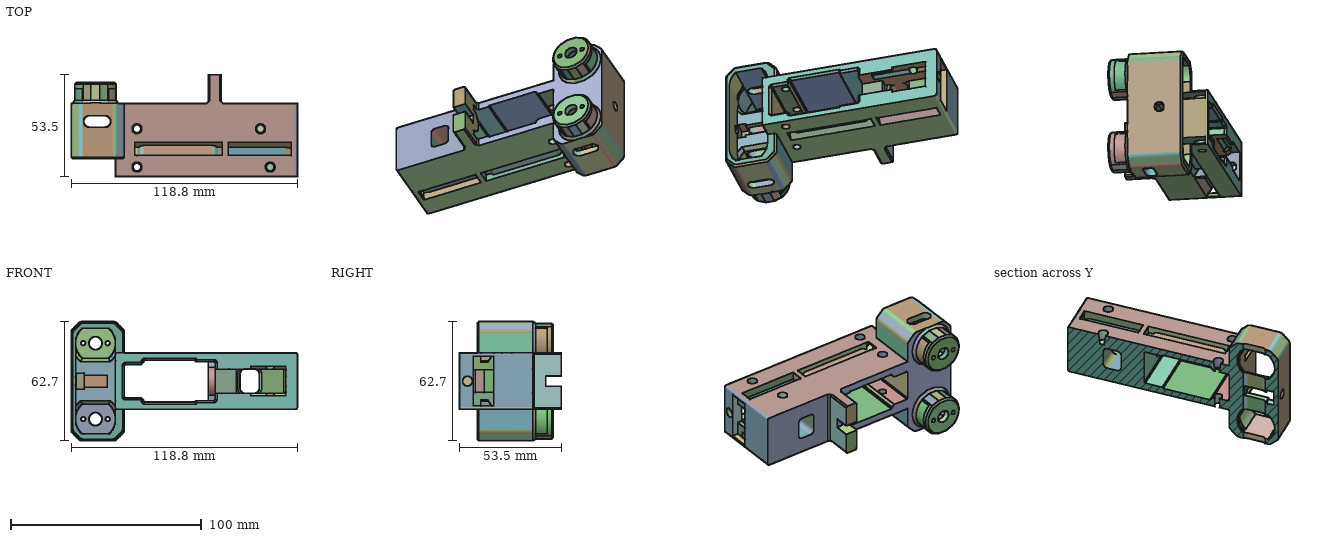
import cadquery as cq
import math


TOTAL_X = 118.75
TOTAL_Y = 53.5
TOTAL_Z = 62.7
BACK_Y = 38.4
THROUGH = 200.0
EPS = 0.5

BOX_X = 28.0
BOX_FRONT_Y = 9.3
BOX_CORNER = 4.85
BOX_CORNER_BLEND = 3.0
BOX_RIM_CHAMFER = 1.0
CAVITY_FLOOR_Y = 23.3

MOTOR_X = 12.8
MOTOR_Z = 19.9
SEAT_RADIUS = 10.45
SEAT_FLAT = 7.8
SEAT_FLOOR_Y = 46.0
SEAT_CHAMFER = 1.9
BOSS_RADIUS = 10.9
BOSS_FLAT = 10.43
BOSS_FLAT_HALF = 2.35
BOSS_FACET_END = 6.5
BOSS_END_Y = 49.4
BOSS_END_CHAMFER = 1.0
BOSS_ROOT_HEIGHT = 1.7
BOSS_ROOT_FLARE = 1.2
SHAFT_HOLE = 6.7
MOTOR_SCREW_HOLE = 2.2
MOTOR_SCREW_OFFSET = 6.4

VENT_LENGTH = 14.05
VENT_WIDTH = 5.9
VENT_X = 13.7
VENT_Y = 28.95
SIDE_SCREW_Y = 21.5
SCREW_HOLE = 4.1
SCREW_MOUTH = 5.1
PLUG_X = (2.75, 6.9)
PLUG_HALF_Z = 4.15
PLUG_DEPTH = 7.0
WIRE_END_X = 19.1
WIRE_HALF_Z = 3.1
WIRE_DEPTH = 10.0

ARM_X = 23.3
ARM_HALF_Z = 14.85
ARM_END_RADIUS = 1.2

BAY_X = (28.0, 75.5)
BAY_CHAMFER = 1.15
BAY_NARROW_HALF = 8.7
BAY_WIDE_HALF = 10.85
BAY_END_HALF = 10.15
BAY_WIDE_X = 38.0
BAY_END_X = 65.4
BAY_CORNER = 0.5
BAY_STEP_CHAMFER = 1.3
BAY_MOUTH_CORNER = 1.2

POST_X = (71.9, 78.8)
POST_CHAMFER = 0.8
POST_ROOT_FLARE = 0.9
POST_SLOT_HALF_Z = 2.65
POST_SLOT_Y = 45.4
POST_SLOT_DEEP_Y = 43.3
RELIEF_Y = 42.9
NOSE_RADIUS = 7.5
NOSE_Y = 44.6

POCKET_HALF_Z = 6.28
STEP_Y = 8.5
STEP_X = 86.5
POCKET_X_END = 112.7
POCKET_FLOOR_Y = 13.0
GROOVE_X = (82.6, POCKET_X_END)
GROOVE_HALF_Z = 7.75
LIP_Y = 1.5
GROOVE_FULL_Y = 4.4
GROOVE_END_Y = 6.4
LIP_NOTCH_X = 94.3
TUNNEL_X = (88.7, 98.6)
TUNNEL_CORNER = 2.4
TUNNEL_CHAMFER = 1.3
EXIT_X = 111.5
EXIT_Y = (7.2, 18.1)
EXIT_HALF_Z = 5.9
EXIT_WALL_X = 115.4
EXIT_WALL_HALF_Z = 13.0
END_SCREW_Y = 4.3

SLOT_Y = (11.15, 18.1)
SLOT_SLOPE = 0.636
SLOT_FLOOR_Z = 10.6
LONG_SLOT_X = (33.5, 79.4)
BRIDGE_X = (34.55, 77.7)
BRIDGE_Z = 12.1
BRIDGE_RAMP = 3.45
SHORT_SLOT_X = (82.4, 115.4)
RAMP_START_X = 112.5
RAMP_END_Z = 9.8

SCREW_MOUTH_DEPTH = 4.0
ARM_SCREWS = [
    (34.55, 5.05, -ARM_HALF_Z),
    (34.55, 25.1, -ARM_HALF_Z),
    (99.35, 25.1, 8.75),
    (104.4, 5.05, -GROOVE_HALF_Z),
]
CHANNEL_Y = (1.4, 15.0)
CHANNEL_Z = (10.6, 14.1)
CHANNEL_DEPTH_X = 29.55
CHANNEL_TURN_Y = 4.4
CHANNEL_TURN_RADIUS = 5.0


def block(x, y, z):
    """Box given by its (low, high) limits along each axis."""
    return (cq.Workplane("XY")
            .box(x[1] - x[0], y[1] - y[0], z[1] - z[0], centered=False)
            .translate((x[0], y[0], z[0])))


def level(y):
    """Sketch plane at height y: local x = X, local y = Z, extrudes toward -Y."""
    return cq.Workplane("XZ", origin=(0, y, 0))


def toward_back(y):
    """Sketch plane at height y: local x = X, local y = -Z, extrudes toward +Y."""
    return cq.Workplane(cq.Plane(origin=(0, y, 0), xDir=(1, 0, 0), normal=(0, 1, 0)))


def both_sides(shape):
    """The shape together with its mirror image about Z = 0."""
    return shape.union(shape.mirror("XY"))


def motor_box():
    box = block((0, BOX_X), (BOX_FRONT_Y, BACK_Y), (-TOTAL_Z / 2, TOTAL_Z / 2))
    box = box.edges("|Y").chamfer(BOX_CORNER)
    box = box.edges("|Y").fillet(BOX_CORNER_BLEND)
    return box.faces("<Y").chamfer(BOX_RIM_CHAMFER)


def boss_outline(plane):
    facet_z = math.sqrt(BOSS_RADIUS**2 - BOSS_FACET_END**2)
    return (plane.center(MOTOR_X, -MOTOR_Z)
            .moveTo(-BOSS_FACET_END, facet_z)
            .lineTo(-BOSS_FLAT_HALF, BOSS_FLAT)
            .lineTo(BOSS_FLAT_HALF, BOSS_FLAT)
            .lineTo(BOSS_FACET_END, facet_z)
            .threePointArc((BOSS_RADIUS, 0), (BOSS_FACET_END, -facet_z))
            .lineTo(BOSS_FLAT_HALF, -BOSS_FLAT)
            .lineTo(-BOSS_FLAT_HALF, -BOSS_FLAT)
            .lineTo(-BOSS_FACET_END, -facet_z)
            .threePointArc((-BOSS_RADIUS, 0), (-BOSS_FACET_END, facet_z))
            .close())


def motor_boss():
    rim_y = BOSS_END_Y - BOSS_END_CHAMFER
    boss = boss_outline(toward_back(BACK_Y)).extrude(rim_y - BACK_Y)
    boss = boss.union(boss_outline(toward_back(rim_y)).extrude(BOSS_END_CHAMFER, taper=45))
    root_angle = math.degrees(math.atan2(BOSS_ROOT_FLARE, BOSS_ROOT_HEIGHT))
    root = (boss_outline(toward_back(BACK_Y)).offset2D(BOSS_ROOT_FLARE)
            .extrude(BOSS_ROOT_HEIGHT, taper=root_angle))
    box_limits = block((0, BOX_X), (BACK_Y, TOTAL_Y), (0, TOTAL_Z / 2))
    return boss.union(root.intersect(box_limits))


def seat_prism(radius, flat, y_low, y_high):
    """Round seat with two flats, between two Y heights."""
    disc = toward_back(y_low).center(MOTOR_X, -MOTOR_Z).circle(radius).extrude(y_high - y_low)
    limits = block((MOTOR_X - radius, MOTOR_X + radius), (y_low, y_high),
                   (MOTOR_Z - flat, MOTOR_Z + flat))
    return disc.intersect(limits)


def seat_chamfer():
    """Flared mouth of the seat, kept within the width of the cavity."""
    outer_radius = SEAT_RADIUS + SEAT_CHAMFER
    outer_flat = SEAT_FLAT + SEAT_CHAMFER
    cone = (toward_back(CAVITY_FLOOR_Y).center(MOTOR_X, -MOTOR_Z)
            .circle(outer_radius).extrude(SEAT_CHAMFER, taper=45))
    wedge = (cq.Workplane("YZ", origin=(MOTOR_X - SEAT_RADIUS, 0, 0))
             .moveTo(CAVITY_FLOOR_Y, MOTOR_Z + SEAT_FLAT)
             .lineTo(CAVITY_FLOOR_Y, MOTOR_Z - outer_flat)
             .lineTo(CAVITY_FLOOR_Y + SEAT_CHAMFER, MOTOR_Z - SEAT_FLAT)
             .lineTo(CAVITY_FLOOR_Y + SEAT_CHAMFER, MOTOR_Z + SEAT_FLAT)
             .close().extrude(2 * SEAT_RADIUS))
    return cone.intersect(wedge)


def motor_holes():
    places = [(0, SHAFT_HOLE), (-MOTOR_SCREW_OFFSET, MOTOR_SCREW_HOLE),
              (MOTOR_SCREW_OFFSET, MOTOR_SCREW_HOLE)]
    holes = cq.Workplane("XY")
    for offset, diameter in places:
        hole = (toward_back(CAVITY_FLOOR_Y).center(MOTOR_X + offset, -MOTOR_Z)
                .circle(diameter / 2).extrude(TOTAL_Y))
        holes = holes.union(hole)
    return holes


def box_cavity():
    low_x = MOTOR_X - SEAT_RADIUS
    middle = block((low_x, ARM_X), (-EPS, CAVITY_FLOOR_Y), (-MOTOR_Z, MOTOR_Z))
    end = seat_prism(SEAT_RADIUS, SEAT_FLAT, -EPS, SEAT_FLOOR_Y)
    ends = both_sides(end.union(seat_chamfer()).union(motor_holes()))
    plug = block(PLUG_X, (CAVITY_FLOOR_Y - EPS, CAVITY_FLOOR_Y + PLUG_DEPTH),
                 (-PLUG_HALF_Z, PLUG_HALF_Z))
    wire = block((PLUG_X[1], WIRE_END_X), (CAVITY_FLOOR_Y - EPS, CAVITY_FLOOR_Y + WIRE_DEPTH),
                 (-WIRE_HALF_Z, WIRE_HALF_Z))
    return middle.union(ends).union(plug).union(wire)


def box_vents():
    return (cq.Workplane("XY", origin=(VENT_X, VENT_Y, 0))
            .slot2D(VENT_LENGTH, VENT_WIDTH).extrude(THROUGH / 2, both=True))


def screw_cutter(plane, depth, mouth_depth):
    """Screw hole that narrows over its mouth, running from the plane along its normal."""
    taper = math.degrees(math.atan2((SCREW_MOUTH - SCREW_HOLE) / 2, mouth_depth))
    mouth = plane.circle(SCREW_MOUTH / 2).extrude(mouth_depth, taper=taper)
    return plane.circle(SCREW_HOLE / 2).extrude(depth).union(mouth)


def side_screw():
    wall = MOTOR_X - SEAT_RADIUS
    return screw_cutter(cq.Workplane("YZ", origin=(0, SIDE_SCREW_Y, 0)), MOTOR_X, wall)


def arm():
    body = block((ARM_X, TOTAL_X), (0, BACK_Y), (-ARM_HALF_Z, ARM_HALF_Z))
    return body.edges("|Y and >X").fillet(ARM_END_RADIUS)


def bay_part(x, half_z):
    """One rectangular length of the bay, with its chamfered mouth."""
    hole = block(x, (0, RELIEF_Y), (-half_z, half_z)).edges("|Y").chamfer(BAY_CORNER)
    mouth_outline = (cq.Sketch()
                     .rect(x[1] - x[0] + 2 * BAY_CHAMFER, 2 * (half_z + BAY_CHAMFER))
                     .vertices().chamfer(BAY_MOUTH_CORNER))
    mouth = (toward_back(0).center((x[0] + x[1]) / 2, 0).placeSketch(mouth_outline)
             .extrude(BAY_CHAMFER, taper=45))
    return hole.union(mouth)


def bay():
    narrow = bay_part((BAY_X[0], BAY_X[1]), BAY_NARROW_HALF)
    wide = bay_part((BAY_WIDE_X, BAY_END_X), BAY_WIDE_HALF)
    end = bay_part((BAY_WIDE_X, BAY_X[1]), BAY_END_HALF)
    nose = (cq.Workplane("YZ", origin=(POST_X[0], NOSE_Y, 0))
            .circle(NOSE_RADIUS).extrude(BAY_X[1] - POST_X[0]))
    step = (level(RELIEF_Y)
            .polyline([(BAY_WIDE_X - BAY_STEP_CHAMFER, 0),
                       (BAY_WIDE_X - BAY_STEP_CHAMFER, BAY_NARROW_HALF),
                       (BAY_WIDE_X, BAY_NARROW_HALF + BAY_STEP_CHAMFER), (BAY_WIDE_X, 0)])
            .close().extrude(RELIEF_Y))
    return narrow.union(wide).union(end).union(both_sides(step)).cut(nose)


def post():
    body = block(POST_X, (BACK_Y - EPS, TOTAL_Y), (-ARM_HALF_Z, ARM_HALF_Z))
    body = body.edges("|Y").chamfer(POST_CHAMFER)
    flare = POST_ROOT_FLARE + POST_CHAMFER
    inner = (POST_X[0] + POST_CHAMFER, POST_X[1] - POST_CHAMFER)
    root = (cq.Workplane("XY", origin=(0, 0, -ARM_HALF_Z))
            .polyline([(inner[0] - flare, BACK_Y), (inner[1] + flare, BACK_Y),
                       (inner[1], BACK_Y + flare), (inner[0], BACK_Y + flare)])
            .close().extrude(2 * ARM_HALF_Z))
    return body.union(root)


def post_slot():
    z = (-POST_SLOT_HALF_Z, POST_SLOT_HALF_Z)
    shallow = block(POST_X, (POST_SLOT_Y, TOTAL_Y), z)
    deep = block((POST_X[0], BAY_X[1]), (POST_SLOT_DEEP_Y, TOTAL_Y), z)
    return shallow.union(deep)


def side_pocket():
    z = (-POCKET_HALF_Z, POCKET_HALF_Z)
    entry = block((BAY_X[1] - EPS, STEP_X), (-EPS, STEP_Y), z)
    deep = block((STEP_X, POCKET_X_END), (-EPS, POCKET_FLOOR_Y), z)
    notch = block((LIP_NOTCH_X, POCKET_X_END), (-EPS, LIP_Y),
                  (-GROOVE_HALF_Z, GROOVE_HALF_Z))
    groove = (cq.Workplane("YZ", origin=(GROOVE_X[0], 0, 0))
              .polyline([(LIP_Y, 0), (LIP_Y, GROOVE_HALF_Z), (GROOVE_FULL_Y, GROOVE_HALF_Z),
                         (GROOVE_END_Y, POCKET_HALF_Z), (GROOVE_END_Y, 0)])
              .close().extrude(GROOVE_X[1] - GROOVE_X[0]))
    return entry.union(deep).union(notch).union(both_sides(groove))


def tunnel():
    """Rounded window from the pocket floor to the back face, wider at its mouth."""
    width = TUNNEL_X[1] - TUNNEL_X[0]
    center_x = (TUNNEL_X[0] + TUNNEL_X[1]) / 2
    height = 2 * POCKET_HALF_Z
    hole = (toward_back(POCKET_FLOOR_Y).center(center_x, 0).rect(width, height)
            .extrude(BACK_Y).edges("|Y").fillet(TUNNEL_CORNER))
    profile = (cq.Sketch().rect(width + 2 * TUNNEL_CHAMFER, height + 2 * TUNNEL_CHAMFER)
               .vertices().fillet(TUNNEL_CORNER + TUNNEL_CHAMFER))
    mouth = (toward_back(POCKET_FLOOR_Y).center(center_x, 0).placeSketch(profile)
             .extrude(TUNNEL_CHAMFER, taper=45))
    limits = block((0, TOTAL_X), (0, BACK_Y), (-POCKET_HALF_Z, POCKET_HALF_Z))
    return hole.union(mouth.intersect(limits))


def end_exit():
    """Opening from the pocket through the end wall, and the screw hole beside it."""
    inner = block((EXIT_X, EXIT_WALL_X), EXIT_Y, (-EXIT_HALF_Z, EXIT_HALF_Z))
    outer = block((EXIT_WALL_X, TOTAL_X + EPS), EXIT_Y, (-EXIT_WALL_HALF_Z, EXIT_WALL_HALF_Z))
    screw = (cq.Workplane("YZ", origin=(POCKET_X_END - EPS, END_SCREW_Y, 0))
             .circle(SCREW_MOUTH / 2).extrude(TOTAL_X - POCKET_X_END + 2 * EPS))
    return inner.union(outer).union(screw)


def slot_prism(x, floor_z):
    """Straight slot in the top face, with a leaning back wall."""
    floor_back_y = SLOT_Y[1] - SLOT_SLOPE * (ARM_HALF_Z - floor_z)
    return (cq.Workplane("YZ", origin=(x[0], 0, 0))
            .polyline([(SLOT_Y[0], ARM_HALF_Z), (SLOT_Y[1], ARM_HALF_Z),
                       (floor_back_y, floor_z), (SLOT_Y[0], floor_z)])
            .close().extrude(x[1] - x[0]))


def bridge():
    """Raised floor whose two ends climb in a pair of tangent arcs."""
    rise = (BRIDGE_Z - SLOT_FLOOR_Z) / 2
    run = BRIDGE_RAMP / 2
    low, high = BRIDGE_X
    middle_z = SLOT_FLOOR_Z + rise
    return (level(SLOT_Y[1])
            .moveTo(LONG_SLOT_X[0], SLOT_FLOOR_Z)
            .lineTo(low, SLOT_FLOOR_Z)
            .tangentArcPoint((low + run, middle_z), relative=False)
            .tangentArcPoint((low + 2 * run, BRIDGE_Z), relative=False)
            .lineTo(high - 2 * run, BRIDGE_Z)
            .tangentArcPoint((high - run, middle_z), relative=False)
            .tangentArcPoint((high, SLOT_FLOOR_Z), relative=False)
            .close().extrude(SLOT_Y[1] - SLOT_Y[0]))


def floor_drop():
    """Material left under the sloping end of the short slot."""
    return (level(SLOT_Y[1])
            .polyline([(SHORT_SLOT_X[0], RAMP_END_Z), (SHORT_SLOT_X[0], SLOT_FLOOR_Z),
                       (RAMP_START_X, SLOT_FLOOR_Z), (SHORT_SLOT_X[1], RAMP_END_Z)])
            .close().extrude(SLOT_Y[1] - SLOT_Y[0]))


def face_slots():
    long_slot = slot_prism(LONG_SLOT_X, SLOT_FLOOR_Z).cut(bridge())
    short_slot = slot_prism(SHORT_SLOT_X, RAMP_END_Z).cut(floor_drop())
    return both_sides(long_slot.union(short_slot))


def arm_screws():
    """Screw holes drilled down from the top face."""
    holes = cq.Workplane("XY")
    for x, y, end_z in ARM_SCREWS:
        plane = cq.Workplane(cq.Plane((x, y, ARM_HALF_Z), (1, 0, 0), (0, 0, -1)))
        holes = holes.union(screw_cutter(plane, ARM_HALF_Z - end_z, SCREW_MOUTH_DEPTH))
    return holes


def wire_channels():
    """Slots in the left face of the arm, rounded on their way in around the screws."""
    turn_end_y = CHANNEL_TURN_Y + CHANNEL_TURN_RADIUS
    turn_end_x = CHANNEL_DEPTH_X + CHANNEL_TURN_RADIUS
    reach = CHANNEL_TURN_RADIUS * math.sqrt(0.5)
    turn_middle = (turn_end_x - reach, CHANNEL_TURN_Y + reach)
    channel = (cq.Workplane("XY", origin=(0, 0, CHANNEL_Z[0]))
               .moveTo(ARM_X - EPS, CHANNEL_Y[0])
               .lineTo(CHANNEL_DEPTH_X, CHANNEL_Y[0])
               .lineTo(CHANNEL_DEPTH_X, CHANNEL_TURN_Y)
               .threePointArc(turn_middle, (turn_end_x, turn_end_y))
               .lineTo(turn_end_x, CHANNEL_Y[1])
               .lineTo(ARM_X - EPS, CHANNEL_Y[1])
               .close().extrude(CHANNEL_Z[1] - CHANNEL_Z[0]))
    return both_sides(channel)


box = motor_box().union(both_sides(motor_boss()))
result = box.union(arm()).union(post())
cutters = [box_cavity(), box_vents(), side_screw(), bay(), post_slot(), side_pocket(), tunnel(),
           end_exit(), face_slots(), arm_screws(), wire_channels()]
for cutter in cutters:
    result = result.cut(cutter)